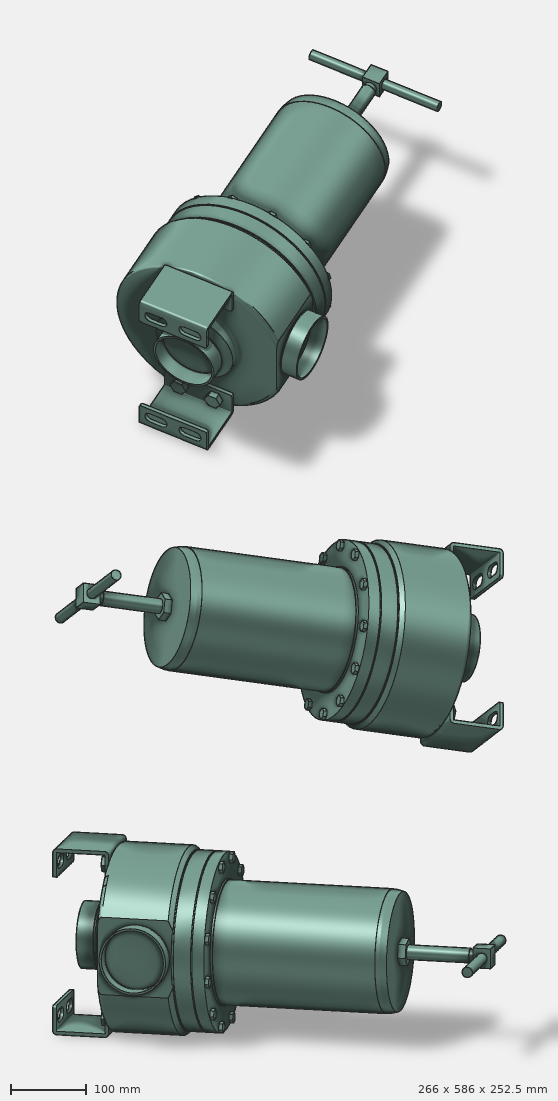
import cadquery as cq
import math

OVERALL_LENGTH = 586.0
OVERLAP = 1.0

BODY_FRONT = 76.0
BODY_REAR = 179.0
BODY_DIAMETER = 252.5
BODY_RADIUS = BODY_DIAMETER / 2
BODY_FRONT_ROUND = 6.0
BODY_REAR_CHAMFER_LENGTH = 6.5
BODY_REAR_CHAMFER_INSET = 5.0
BODY_FLAT_X = 115.0

FLANGE_DIAMETER = 241.0
FLANGE_RADIUS = FLANGE_DIAMETER / 2
GASKET_THICKNESS = 2.0
GASKET_RECESS = 0.5
FLANGE_JOINT = 204.0
FLANGE_REAR = 222.0
FLANGE_BOLT_COUNT = 12
FLANGE_BOLT_CIRCLE_RADIUS = 112.5
FLANGE_BOLT_RADIUS = 7.5
FLANGE_BOLT_HEIGHT = 5.0
FLANGE_BOLT_TURN = 45.0
FIRST_FLANGE_BOLT_ANGLE = 15.0

COLLAR_RADIUS = 84.5
COLLAR_HEIGHT = 3.0
BONNET_DIAMETER = 166.0
BONNET_RADIUS = BONNET_DIAMETER / 2
BONNET_REAR = 445.5
CAP_STEP = 0.5
CAP_RADIUS = BONNET_RADIUS - CAP_STEP
CAP_REAR = 460.5
CAP_TAPER_LENGTH = 9.5
CAP_TAPER_INSET = 2.5

NUT_RADIUS = 18.0
NUT_REAR = 471.0
NUT_TURN = 45.0
SCREW_RADIUS = 10.0
SCREW_REAR = 555.5
SCREW_NECK_RADIUS = 8.0
BLOCK_WIDTH = 25.0
BLOCK_LENGTH = 24.0
BLOCK_HEIGHT = 27.0
HANDLE_RADIUS = 7.0
HANDLE_HALF_LENGTH = 95.5
HANDLE_CENTER_Y = OVERALL_LENGTH - BLOCK_LENGTH / 2

PORT_RADIUS = 45.0
PORT_BORE_RADIUS = 42.0
PORT_RING_LENGTH = 23.0
NECK_RADIUS = 43.5
FRONT_PORT_FACE = 30.5
OVERALL_WIDTH = 266.0
SIDE_PORT_FACE = OVERALL_WIDTH - BODY_RADIUS
SIDE_PORT_Y = 129.5

BOSS_RADIUS = 57.5
BOSS_ROOT_ROUND = 6.5
BOSS_SHOULDER_Y = 61.0
BOSS_TIP_Y = 55.5

PLATE = 5.0
BEND_RADIUS = 6.0
BRACKET_WIDTH = 101.0
BRACKET_LEG = 39.0
BRACKET_CORNER_RADIUS = 3.5
SLOT_SPACING = 51.0
SLOT_LENGTH = 33.0
SLOT_WIDTH = 17.0
SLOT_Z = 104.5
BRACKET_BOLT_RADIUS = 12.0
BRACKET_BOLT_HEIGHT = 9.0


def plane_facing_back(y):
    """XZ sketch plane at the given Y, with its normal toward +Y and local (x, y) = (-X, Z)."""
    return cq.Plane(origin=(0, y, 0), xDir=(-1, 0, 0), normal=(0, 1, 0))


def rod(radius, start, end):
    """Cylinder on the main axis from one Y position to another."""
    return cq.Workplane(plane_facing_back(start)).circle(radius).extrude(end - start)


def hexagon(radius, start, end, x=0.0, z=0.0, turn=0.0):
    """Hexagonal prism along Y; turn is the angle of one corner from +X toward +Z."""
    angles = [math.radians(turn + 60 * i) for i in range(6)]
    corners = [(-(x + radius * math.cos(a)), z + radius * math.sin(a)) for a in angles]
    return cq.Workplane(plane_facing_back(start)).polyline(corners).close().extrude(end - start)


def make_body():
    body = rod(BODY_RADIUS, BODY_FRONT, BODY_REAR)
    body = body.faces("<Y").edges().fillet(BODY_FRONT_ROUND)
    body = body.faces(">Y").chamfer(BODY_REAR_CHAMFER_LENGTH, BODY_REAR_CHAMFER_INSET)
    cutter = cq.Workplane("XY").box(
        BODY_RADIUS, 2 * OVERALL_LENGTH, 3 * BODY_RADIUS, centered=(False, True, True)
    )
    return body.cut(cutter.translate((BODY_FLAT_X, 0, 0)))


def make_flanges():
    gasket_radius = FLANGE_RADIUS - GASKET_RECESS
    flanges = rod(gasket_radius, BODY_REAR - OVERLAP, FLANGE_REAR)
    flanges = flanges.union(rod(FLANGE_RADIUS, BODY_REAR + GASKET_THICKNESS, FLANGE_JOINT))
    flanges = flanges.union(rod(FLANGE_RADIUS, FLANGE_JOINT + GASKET_THICKNESS, FLANGE_REAR))
    for i in range(FLANGE_BOLT_COUNT):
        angle = math.radians(FIRST_FLANGE_BOLT_ANGLE + i * 360 / FLANGE_BOLT_COUNT)
        head = hexagon(
            FLANGE_BOLT_RADIUS,
            FLANGE_REAR - OVERLAP,
            FLANGE_REAR + FLANGE_BOLT_HEIGHT,
            x=FLANGE_BOLT_CIRCLE_RADIUS * math.cos(angle),
            z=FLANGE_BOLT_CIRCLE_RADIUS * math.sin(angle),
            turn=FLANGE_BOLT_TURN,
        )
        flanges = flanges.union(head)
    return flanges


def make_bonnet():
    collar = rod(COLLAR_RADIUS, FLANGE_REAR - OVERLAP, FLANGE_REAR + COLLAR_HEIGHT)
    tube = rod(BONNET_RADIUS, FLANGE_REAR, BONNET_REAR)
    cap = rod(CAP_RADIUS, BONNET_REAR - OVERLAP, CAP_REAR)
    cap = cap.faces(">Y").chamfer(CAP_TAPER_LENGTH, CAP_TAPER_INSET)
    return collar.union(tube).union(cap)


def make_screw_and_handle():
    nut = hexagon(NUT_RADIUS, CAP_REAR - OVERLAP, NUT_REAR, turn=NUT_TURN)
    screw = rod(SCREW_RADIUS, CAP_REAR - OVERLAP, SCREW_REAR)
    neck = rod(SCREW_NECK_RADIUS, SCREW_REAR - OVERLAP, HANDLE_CENTER_Y)
    block = cq.Workplane("XY").box(BLOCK_WIDTH, BLOCK_LENGTH, BLOCK_HEIGHT)
    handle = cq.Workplane("YZ").circle(HANDLE_RADIUS).extrude(HANDLE_HALF_LENGTH, both=True)
    tee = block.union(handle).translate((0, HANDLE_CENTER_Y, 0))
    return nut.union(screw).union(neck).union(tee)


def make_port(neck_length):
    """Blind port along +Z with its open face at Z = 0 and its neck below the ring."""
    ring = cq.Workplane("XY").circle(PORT_RADIUS).extrude(-PORT_RING_LENGTH)
    neck = cq.Workplane("XY").circle(NECK_RADIUS).extrude(-PORT_RING_LENGTH - neck_length)
    bore = cq.Workplane("XY").circle(PORT_BORE_RADIUS).extrude(-PORT_RING_LENGTH)
    return ring.union(neck).cut(bore)


def make_front_port():
    """Boss with a flared root and a conical top, carrying the port that faces -Y."""
    arc_shift = BOSS_ROOT_ROUND * (1 - math.sqrt(0.5))
    boss = (
        cq.Workplane("XY")
        .moveTo(0, BODY_FRONT + OVERLAP)
        .lineTo(BOSS_RADIUS + BOSS_ROOT_ROUND, BODY_FRONT + OVERLAP)
        .lineTo(BOSS_RADIUS + BOSS_ROOT_ROUND, BODY_FRONT)
        .threePointArc(
            (BOSS_RADIUS + arc_shift, BODY_FRONT - arc_shift),
            (BOSS_RADIUS, BODY_FRONT - BOSS_ROOT_ROUND),
        )
        .lineTo(BOSS_RADIUS, BOSS_SHOULDER_Y)
        .lineTo(NECK_RADIUS, BOSS_TIP_Y)
        .lineTo(0, BOSS_TIP_Y)
        .close()
        .revolve(360, (0, 0, 0), (0, 1, 0))
    )
    neck_length = BOSS_TIP_Y + OVERLAP - FRONT_PORT_FACE - PORT_RING_LENGTH
    port = make_port(neck_length).rotate((0, 0, 0), (1, 0, 0), 90)
    return boss.union(port.translate((0, FRONT_PORT_FACE, 0)))


def make_side_port():
    neck_length = SIDE_PORT_FACE - PORT_RING_LENGTH - BODY_FLAT_X + OVERLAP
    port = make_port(neck_length).rotate((0, 0, 0), (0, 1, 0), 90)
    return port.translate((SIDE_PORT_FACE, SIDE_PORT_Y, 0))


def make_upper_bracket():
    """Channel of bent plate opening toward the axis, with slotted front leg and two bolts."""
    outer = (
        cq.Workplane("XY")
        .box(BRACKET_WIDTH, BODY_FRONT, BRACKET_LEG, centered=(True, False, False))
        .translate((0, 0, BODY_RADIUS - BRACKET_LEG))
        .edges("|X and >Z")
        .fillet(BEND_RADIUS)
        .edges("|Y and <Z")
        .fillet(BRACKET_CORNER_RADIUS)
    )
    inner = (
        cq.Workplane("XY")
        .box(2 * BRACKET_WIDTH, BODY_FRONT - 2 * PLATE, BRACKET_LEG, centered=(True, False, False))
        .translate((0, PLATE, BODY_RADIUS - PLATE - BRACKET_LEG))
        .edges("|X and >Z")
        .fillet(BEND_RADIUS - PLATE)
    )
    slots = (
        cq.Workplane(plane_facing_back(0))
        .pushPoints([(-SLOT_SPACING / 2, SLOT_Z), (SLOT_SPACING / 2, SLOT_Z)])
        .slot2D(SLOT_LENGTH, SLOT_WIDTH)
        .extrude(PLATE)
    )
    bracket = outer.cut(inner).cut(slots)
    leg_front = BODY_FRONT - PLATE
    for x in (-SLOT_SPACING / 2, SLOT_SPACING / 2):
        head = hexagon(
            BRACKET_BOLT_RADIUS, leg_front - BRACKET_BOLT_HEIGHT, BODY_FRONT + OVERLAP, x=x, z=SLOT_Z
        )
        bracket = bracket.union(head)
    return bracket


upper_bracket = make_upper_bracket()
lower_bracket = upper_bracket.mirror("XY")

result = (
    make_body()
    .union(make_flanges())
    .union(make_bonnet())
    .union(make_screw_and_handle())
    .union(make_front_port())
    .union(make_side_port())
    .union(upper_bracket)
    .union(lower_bracket)
)